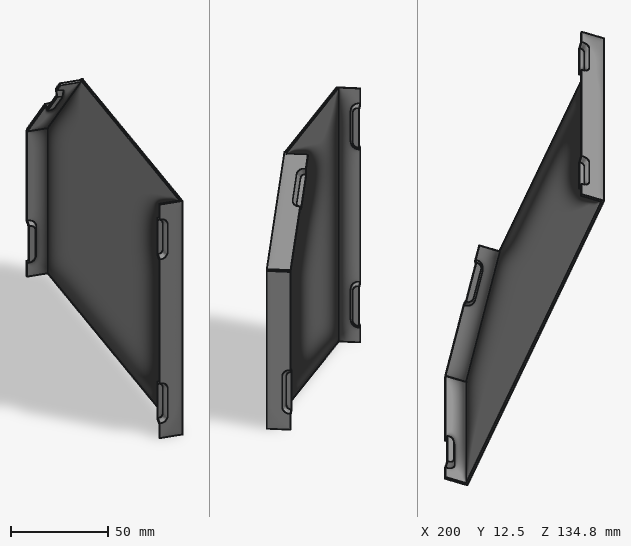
import cadquery as cq
import math

width = 200.0
depth = 12.5
panel_height = 134.2
sheet = 1.2

slope_angle = 45.0
slope_start_height = 84.0
slope_tip_height = 134.8
left_flange_height = 83.5
relief_setback = 0.5
tip_setback = 1.2

recess_depth = 3.0
recess_mouth_radius = 3.8
recess_center_spacing = 15.5
recess_axis_offset = 0.5
recess_draft = 30.0
recess_from_end = 20.0

slope_cos = math.cos(math.radians(slope_angle))
slope_run = slope_tip_height - slope_start_height
slope_length = slope_run / slope_cos
tip_drop = slope_tip_height - panel_height
sheet_offset = sheet * slope_cos
relief_offset = relief_setback * slope_cos
slope_foot_height = slope_start_height + relief_offset


def make_panel():
    relief_x = relief_offset + sheet_offset
    outline = [
        (0, 0),
        (width, 0),
        (width, panel_height),
        (slope_run + tip_drop, panel_height),
        (slope_run, slope_tip_height),
        (relief_offset, slope_foot_height),
        (relief_x, slope_foot_height - sheet_offset),
        (relief_x, left_flange_height),
        (0, left_flange_height),
    ]
    return cq.Workplane("XZ", origin=(0, depth, 0)).polyline(outline).close().extrude(sheet)


def tapered_slot(mouth_radius, slot_depth):
    """Rounded slot narrowing with depth along +X, long axis along Z."""
    slot_length = recess_center_spacing + 2 * mouth_radius
    return (
        cq.Workplane("YZ", origin=(0, recess_axis_offset, 0))
        .slot2D(slot_length, 2 * mouth_radius, 90)
        .extrude(slot_depth, taper=recess_draft)
    )


def make_flange(length, recess_heights):
    """Upright flange with its outer face on X = 0 and its free edge on Y = 0."""
    flange = cq.Workplane("XY").box(sheet, depth, length, centered=False)
    shell_radius = recess_mouth_radius + sheet / math.cos(math.radians(recess_draft))
    shell = tapered_slot(shell_radius, recess_depth + sheet)
    recess = tapered_slot(recess_mouth_radius, recess_depth)
    for height in recess_heights:
        flange = flange.union(shell.translate((0, 0, height)))
        flange = flange.cut(recess.translate((0, 0, height)))
    envelope = cq.Workplane("XY").box(width, depth, length, centered=False)
    return flange.intersect(envelope)


left_flange = make_flange(left_flange_height, [recess_from_end])

right_flange = (
    make_flange(panel_height, [recess_from_end, panel_height - recess_from_end])
    .mirror("YZ")
    .translate((width, 0, 0))
)

slope_flange_length = slope_length - relief_setback - tip_setback
slope_flange = (
    make_flange(slope_flange_length, [slope_flange_length - recess_from_end])
    .rotate((0, 0, 0), (0, 1, 0), slope_angle)
    .translate((relief_offset, 0, slope_foot_height))
)

result = make_panel().union(left_flange).union(right_flange).union(slope_flange)